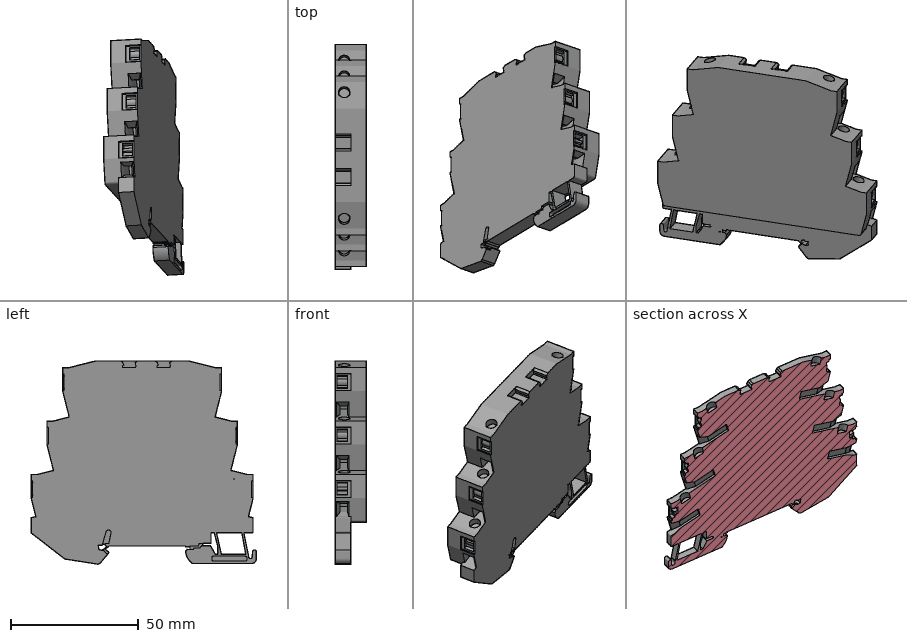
import cadquery as cq
import math

thickness = 12.2
slab = 6.2

height = 79.6
tier_count = 3
tier_rise = 20.9
tier_step = 6.2
top_half_width = 31.1
top_level = 76.9
crown_half_width = 18.2
lip = 2.4
wall_height = 9.25
base_neck_level = 18.7
full_half_width = top_half_width + (tier_count - 1) * tier_step
slope = (height - top_level) / (top_half_width - lip - crown_half_width)
slope_angle = math.degrees(math.atan(slope))

cover_bottom = 16.4
cover_edge_radius = 1.1
block_bottom = 12.25
block_top_radius = 0.4
block_bottom_radius = 0.6
rail_level = 7.1
foot_floor = 4.0
foot_bottom = 0.3

screw_radius = 2.2
screw_x = 3.5
screw_inset = 6.3
screw_depth = 3.0
bezel_depth = 0.6
bezel_drop = 2.55
bezel_height = 6.4
window_left = 0.7
window_right = 4.8
window_height = 4.4
window_center_drop = 5.6
window_draft = 0.3
window_depth = 1.2
bar_radius = 2.1
bar_height = 2.55
clamp_seat_depth = 2.6
clamp_projection = 0.4
clamp_height = 1.6
clamp_chamfer = 0.4
clamp_drop = 4.9

funnel_left = 0.4
funnel_right = 5.4
funnel_height = 6.0
funnel_depth = 3.5
wire_left = 1.85
wire_right = 4.85
wire_height = 3.5
wire_depth = 12.3
base_wire_lift = 0.9
mouth_clearance = 0.9

recess_depth = 1.9

pocket_pitch = 13.5


def prism(points, x_start, length):
    """Extrude a closed (Y, Z) outline along +X."""
    return cq.Workplane("YZ").polyline(points).close().extrude(length).translate((x_start, 0, 0))


def box(x_range, y_range, z_range):
    """Axis-aligned block between pairs of limits."""
    sizes = [abs(b - a) for a, b in (x_range, y_range, z_range)]
    middle = tuple((a + b) / 2 for a, b in (x_range, y_range, z_range))
    return cq.Workplane("XY").box(*sizes).translate(middle)


def mirror_y(shape):
    return shape.mirror("XZ")


def tier_half_width(tier):
    return top_half_width + tier * tier_step


def tier_level(tier):
    return top_level - tier * tier_rise


def neck_point(tier):
    """Inner corner under a tier, where its sloping face meets the tier top below squarely."""
    wall_foot = tier_level(tier) - wall_height
    if tier == tier_count - 1:
        level = base_neck_level
    else:
        rise = slope * (tier_step - lip) + slope**2 * wall_foot
        level = (tier_level(tier + 1) + rise) / (1 + slope**2)
    return (tier_half_width(tier) - (wall_foot - level) * slope, level)


def stepped_side():
    """Points of the +Y side from the crown down to the lowest neck."""
    points = [(crown_half_width, height)]
    for tier in range(tier_count):
        edge = tier_half_width(tier)
        level = tier_level(tier)
        points += [(edge - lip, level), (edge, level), (edge, level - wall_height), neck_point(tier)]
    return points


def other_side(points):
    return [(-y, z) for y, z in reversed(points)]


def make_cover():
    """Plain slab on the +X side; its flanks run straight on to a flat bottom."""
    side = stepped_side()[:-1]
    wall_y, wall_z = side[-1]
    side.append((wall_y - (wall_z - cover_bottom) * slope, cover_bottom))
    cover = prism(side + other_side(side), slab, thickness - slab)
    return cover.edges("|X").edges("<Z").fillet(cover_edge_radius)


def make_base():
    """Slab on the -X side down to the rail seat, with the fixed rail jaw at +Y."""
    side = stepped_side()
    neck_y, neck_z = side[-1]
    block_top = neck_z - (full_half_width - neck_y) * slope
    left = side + [
        (full_half_width, block_top),
        (full_half_width, block_bottom),
        (30.2, 2.0),
        (17.3, 0),
        (16.4, 0.4),
        (13.3, 4.1),
        (12.95, 4.7),
        (14.4, 5.9),
        (12.95, rail_level),
    ]
    right = [
        (-17.0, rail_level),
        (-17.0, 6.8),
        (-18.7, 6.8),
        (-18.7, rail_level),
        (-21.9, rail_level),
        (-22.3, 8.2),
        (-27.0, 8.2),
        (-27.0, block_bottom),
        (-full_half_width, block_bottom),
        (-full_half_width, block_top),
    ]
    base = prism(left + right + other_side(side), 0, slab)
    for level, radius in ((block_top, block_top_radius), (block_bottom, block_bottom_radius)):
        corner = (slab / 2, -full_half_width, level)
        base = base.edges(cq.selectors.NearestToPointSelector(corner)).fillet(radius)
    return base


def make_rail_foot():
    """Sprung rail foot: a hooked plate hung from two slanting struts, with a pull tab."""
    plate = (
        cq.Workplane("YZ")
        .moveTo(-17.6, 5.9)
        .lineTo(-18.7, 5.8)
        .lineTo(-20.0, 5.8)
        .lineTo(-20.4, 6.4)
        .lineTo(-22.6, 6.4)
        .lineTo(-23.4, 7.3)
        .lineTo(-26.7, 7.3)
        .lineTo(-28.6, foot_floor)
        .lineTo(-41.6, foot_floor)
        .lineTo(-41.7, 3.0)
        .threePointArc((-42.3, 2.3), (-43.0, 3.0))
        .lineTo(-43.1, 4.85)
        .threePointArc((-43.9, 5.6), (-44.7, 4.85))
        .lineTo(-44.7, 2.2)
        .threePointArc((-44.05, 0.8), (-42.7, foot_bottom))
        .lineTo(-19.65, foot_bottom)
        .threePointArc((-17.7, 2.5), (-16.9, 5.0))
        .close()
        .extrude(slab)
    )
    inner_strut = [(-28.0, 12.8), (-29.25, 12.8), (-29.25, 11.8), (-31.1, 3.5), (-29.5, 3.5), (-29.5, 7.05)]
    outer_strut = [(-38.9, 12.8), (-39.9, 12.8), (-39.9, 11.8), (-41.7, 3.0), (-40.5, 3.5)]
    latch_web = [(-18.7, 7.9), (-22, 7.9), (-22.3, 8.4), (-24.0, 8.4), (-23.4, 7.05), (-22.6, 6.2), (-18.7, 5.7)]
    foot = plate.union(prism(inner_strut, 0, slab)).union(prism(outer_strut, 0, slab))
    return foot.union(prism(latch_web, recess_depth, slab - recess_depth))


def make_jaw_opening():
    """Opening through the slab behind the fixed jaw."""
    outline = [
        (17.1, 7.4), (15.7, 7.4), (15.15, 7.8), (14.4, 7.6),
        (14.0, 6.8), (14.8, 6.1), (15.9, 5.55), (16.9, 5.8),
    ]
    return prism(outline, 0, slab)


def make_side_recesses():
    """Blind recesses in the -X face: relief slot, jaw tip and foot groove."""
    slot = (
        cq.Workplane("YZ")
        .moveTo(15.6, 7.7)
        .lineTo(14.2, 12.5)
        .threePointArc((13.1, 13.4), (12.2, 12.5))
        .lineTo(13.0, 8.1)
        .lineTo(14.4, 8.1)
        .lineTo(14.8, 7.7)
        .close()
        .extrude(recess_depth)
    )
    tip_outline = [
        (15.9, 5.55), (15.15, 5.5), (13.75, 4.05), (13.1, 4.3),
        (12.95, 4.7), (14.4, 5.9), (14.8, 6.1),
    ]
    tip = prism(tip_outline, 0, recess_depth)
    groove = box((0, recess_depth), (-41.0, -27.2), (1.3, 3.2)).edges("|X").fillet(0.6)
    return slot.union(tip).union(groove)


def make_crown_pockets():
    """Two dovetail pockets open to the top and to the -X face."""
    outline = [
        (8.5, height), (7.75, 79.1), (7.1, 78.0), (7.75, 77.5), (7.75, top_level),
        (2.55, top_level), (2.5, 77.6), (2.7, 78.9), (1.7, height),
    ]
    pocket = prism(outline, 0, slab)
    return pocket.union(pocket.translate((0, -pocket_pitch, 0)))


def make_screw_hole(tier):
    """Blind round hole square to the sloping tier top, at -Y."""
    y = tier_half_width(tier) - screw_inset
    z = tier_level(tier) + (screw_inset - lip) * slope
    hole = cq.Workplane("XY").circle(screw_radius).extrude(2 * screw_depth).translate((0, 0, -screw_depth))
    return hole.rotate((0, 0, 0), (1, 0, 0), slope_angle).translate((screw_x, -y, z))


def make_window(tier):
    """Bezel recess and terminal window in the -Y wall."""
    wall = -tier_half_width(tier)
    level = tier_level(tier)
    center = level - window_center_drop
    bezel_top = level - bezel_drop
    back = wall + bezel_depth + window_depth
    sill = wall + bezel_depth
    bezel_outline = [
        (wall, bezel_top + window_draft),
        (sill, bezel_top),
        (sill, bezel_top - bezel_height),
        (wall, bezel_top - bezel_height),
    ]
    window_outline = [
        (sill, center + window_height / 2 + window_draft),
        (back, center + window_height / 2),
        (back, center - window_height / 2),
        (sill, center - window_height / 2 - window_draft),
    ]
    bezel = prism(bezel_outline, 0, slab)
    opening = prism(window_outline, window_left, window_right - window_left)
    if tier < tier_count - 1:
        offset = math.sqrt(bar_radius**2 - (bar_height / 2) ** 2)
        bar = cq.Workplane("YZ").center(back + offset, center).circle(bar_radius).extrude(slab)
        return bezel.union(opening.cut(bar))
    seat_limits = (level - clamp_drop - clamp_height, center + window_height / 2)
    seat = box((window_left, window_right), (back, wall + bezel_depth + clamp_seat_depth), seat_limits)
    return bezel.union(opening).union(seat)


def make_funnel(tier):
    """Tapered wire entry, square to the sloping face under a tier, at -Y."""
    wire_floor = base_wire_lift if tier == tier_count - 1 else 0
    mouth = [(funnel_left, 0), (funnel_right, funnel_height)]
    throat = [(wire_left, wire_floor), (wire_right, wire_floor + wire_height)]

    def rectangle(limits, depth):
        (x0, z0), (x1, z1) = limits
        corners = [(x0, depth, z0), (x1, depth, z0), (x1, depth, z1), (x0, depth, z1)]
        return cq.Wire.makePolygon([cq.Vector(*corner) for corner in corners], close=True)

    taper = cq.Workplane(cq.Solid.makeLoft([rectangle(mouth, 0), rectangle(throat, funnel_depth)], True))
    approach = box((funnel_left, funnel_right), (-mouth_clearance, 0), (0, funnel_height))
    bore = box((wire_left, wire_right), (0, wire_depth), (wire_floor, wire_floor + wire_height))
    neck_y, neck_z = neck_point(tier)
    funnel = taper.union(approach).union(bore).rotate((0, 0, 0), (1, 0, 0), slope_angle)
    return funnel.translate((0, -neck_y, neck_z))


def make_housing():
    """Single moulded housing: cover slab, base slab and rail foot with all terminal cut-outs."""
    housing = make_cover().union(make_base()).union(make_rail_foot())
    housing = housing.cut(make_jaw_opening()).cut(make_side_recesses()).cut(make_crown_pockets())
    for tier in range(tier_count):
        for feature in (make_screw_hole(tier), make_window(tier), make_funnel(tier)):
            housing = housing.cut(feature).cut(mirror_y(feature))
    return housing


def make_clamp(side):
    """Wire clamp seated in the back of the lowest window; side is -1 for -Y and 1 for +Y."""
    tier = tier_count - 1
    sill = -tier_half_width(tier) + bezel_depth
    front = sill + window_depth - clamp_projection
    back = sill + clamp_seat_depth
    top = tier_level(tier) - clamp_drop
    clamp = box((window_left, window_right), (front, back), (top - clamp_height, top))
    clamp = clamp.faces("<Y").edges("<Z").chamfer(clamp_chamfer)
    return mirror_y(clamp) if side > 0 else clamp


housing = make_housing()
clamps = [make_clamp(side) for side in (-1, 1)]
result = cq.Compound.makeCompound([housing.val(), *[clamp.val() for clamp in clamps]])